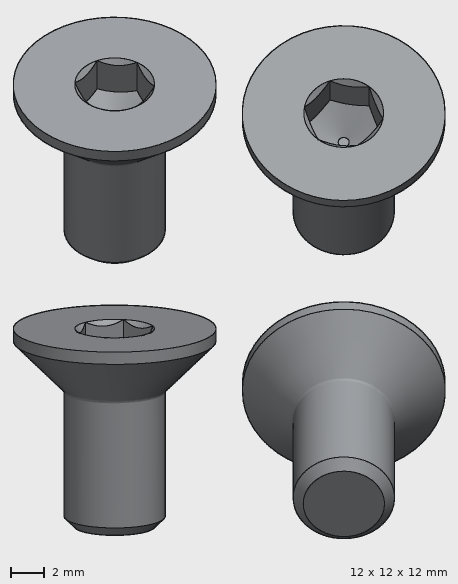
import cadquery as cq
import math

length = 12.0
head_radius = 6.0
shank_radius = 3.0
head_rim_height = 0.75
neck_fillet = 0.24
tip_chamfer = 0.6

socket_flats = 4.08
socket_corners = socket_flats / math.cos(math.radians(30))
socket_depth = 2.22
socket_floor_radius = 0.32
socket_floor_slope = 30.0
lead_in_slope = 45.0


def make_body():
    """Countersunk head with a 45 degree underside, on a chamfered shank."""
    rim_z = length - head_rim_height
    neck_z = rim_z - (head_radius - shank_radius)
    body = (
        cq.Workplane("XZ")
        .lineTo(shank_radius - tip_chamfer, 0)
        .lineTo(shank_radius, tip_chamfer)
        .lineTo(shank_radius, neck_z)
        .lineTo(head_radius, rim_z)
        .lineTo(head_radius, length)
        .lineTo(0, length)
        .close()
        .revolve(360, (0, 0), (0, 1))
    )
    neck_center = (0, 0, neck_z)
    return body.edges("%CIRCLE").edges(cq.selectors.NearestToPointSelector(neck_center)).fillet(neck_fillet)


def make_socket():
    """Hexagonal hole with a conical lead-in and a conical floor ending in a small flat."""
    corner_radius = socket_corners / 2
    wall_bottom_z = length - socket_depth
    floor_drop = (corner_radius - socket_floor_radius) * math.tan(math.radians(socket_floor_slope))
    floor_z = wall_bottom_z - floor_drop
    hexagon = (
        cq.Workplane("XY", origin=(0, 0, floor_z))
        .polygon(6, socket_corners)
        .extrude(length - floor_z)
    )
    envelope = (
        cq.Workplane("XZ")
        .moveTo(0, floor_z)
        .lineTo(socket_floor_radius, floor_z)
        .lineTo(corner_radius, wall_bottom_z)
        .lineTo(corner_radius, length)
        .lineTo(0, length)
        .close()
        .revolve(360, (0, 0), (0, 1))
    )
    lead_in_depth = corner_radius * math.tan(math.radians(lead_in_slope))
    lead_in = cq.Workplane("XY").add(
        cq.Solid.makeCone(corner_radius, 0, lead_in_depth, pnt=(0, 0, length), dir=(0, 0, -1))
    )
    return hexagon.intersect(envelope).union(lead_in)


result = make_body().cut(make_socket())